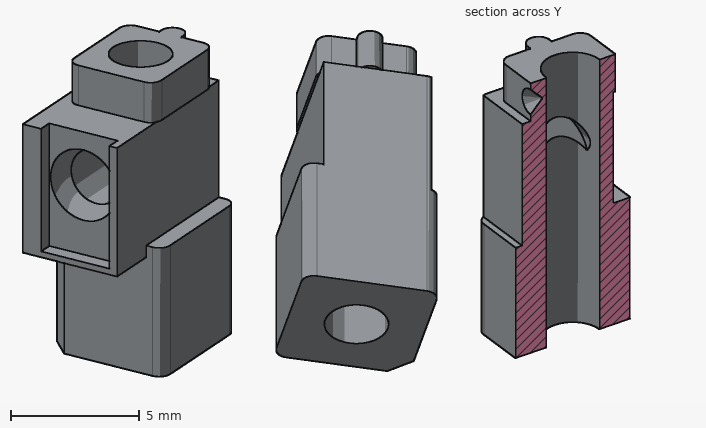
import cadquery as cq
import math

TOTAL_HEIGHT = 12.2
CORNER_RADIUS = 0.5

BASE_SIDE = 5.4
BASE_CHAMFER = 0.87
BASE_HALF = BASE_SIDE / 2

BLOCK_LEFT = -2.4
BLOCK_RIGHT = 1.92
BLOCK_FRONT = -4.85
BLOCK_TOP = 10.49
LEFT_LEDGE_HEIGHT = 5.0
RIGHT_LEDGE_HEIGHT = 5.5

CAP_WIDTH = 4.0
CAP_LENGTH = 4.39
CAP_HEIGHT = TOTAL_HEIGHT - BLOCK_TOP
KEY_RADIUS = 0.5
KEY_BACK = 2.87

DIMPLE_RADIUS = 0.56
DIMPLE_DEPTH = 0.56

RECESS_WIDTH = 3.12
RECESS_DEPTH = 0.61
RECESS_FLOOR = 5.26
RECESS_BACK = BLOCK_FRONT + RECESS_DEPTH

BORE_DIAMETER = 2.5
FRONT_BORE_RADIUS = 2.3 / 2
FRONT_BORE_HEIGHT = 8.22
SEAT_RADIUS = 1.5

SLOPE_AXIS_HEIGHT = 7.23


def box(x_min, x_max, y_min, y_max, z_min, z_max):
    """Box between the given limits."""
    size = (x_max - x_min, y_max - y_min, z_max - z_min)
    return cq.Workplane("XY").box(*size, centered=False).translate((x_min, y_min, z_min))


def make_base_and_block():
    """Base column trimmed to the block width, plus the front overhang."""
    column = cq.Workplane("XY").rect(BASE_SIDE, BASE_SIDE).extrude(BLOCK_TOP)
    column = column.edges("|Z and (>X or >Y)").fillet(CORNER_RADIUS)
    column = column.edges("|Z and <Y").edges("<X").chamfer(BASE_CHAMFER)
    left_waste = box(-BASE_HALF, BLOCK_LEFT, -BASE_HALF, BASE_HALF, LEFT_LEDGE_HEIGHT, BLOCK_TOP)
    right_waste = box(BLOCK_RIGHT, BASE_HALF, -BASE_HALF, BASE_HALF, RIGHT_LEDGE_HEIGHT, BLOCK_TOP)
    overhang = box(BLOCK_LEFT, BLOCK_RIGHT, BLOCK_FRONT, 0, LEFT_LEDGE_HEIGHT, BLOCK_TOP)
    return column.cut(left_waste).cut(right_waste).union(overhang)


def make_cap():
    """Rounded cap with its key and dimple."""
    cap = cq.Workplane("XY", origin=(0, 0, BLOCK_TOP)).rect(CAP_WIDTH, CAP_LENGTH).extrude(CAP_HEIGHT)
    cap = cap.edges("|Z").fillet(CORNER_RADIUS)
    key_centre = KEY_BACK - KEY_RADIUS
    key = box(-KEY_RADIUS, KEY_RADIUS, 0, key_centre, BLOCK_TOP, TOTAL_HEIGHT)
    key_end = cq.Workplane("XY", origin=(0, key_centre, BLOCK_TOP)).circle(KEY_RADIUS).extrude(CAP_HEIGHT)
    dimple_centre = cq.Vector(-CAP_WIDTH / 2, 0, BLOCK_TOP + CAP_HEIGHT / 2)
    dimple = cq.Solid.makeCone(DIMPLE_RADIUS, 0, DIMPLE_DEPTH, dimple_centre, cq.Vector(1, 0, 0))
    return cap.union(key).union(key_end).cut(cq.Workplane(dimple))


def make_front_bore():
    """Front bore that crosses the vertical bore and ends on a 45 degree face."""
    y_start = RECESS_BACK
    z_bottom = FRONT_BORE_HEIGHT - FRONT_BORE_RADIUS
    z_top = FRONT_BORE_HEIGHT + FRONT_BORE_RADIUS
    profile = [
        (y_start, z_bottom),
        (z_bottom - SLOPE_AXIS_HEIGHT, z_bottom),
        (z_top - SLOPE_AXIS_HEIGHT, z_top),
        (y_start, z_top),
    ]
    envelope = cq.Workplane("YZ").polyline(profile).close().extrude(FRONT_BORE_RADIUS, both=True)
    cylinder = (
        cq.Workplane("XZ", origin=(0, y_start, FRONT_BORE_HEIGHT))
        .circle(FRONT_BORE_RADIUS)
        .extrude(-BASE_SIDE * 2)
    )
    return cylinder.intersect(envelope)


def make_seat():
    """Half-ball hollow in the back of the recess, revolved about the front bore axis."""
    pole = (0, RECESS_BACK + SEAT_RADIUS)
    diagonal = SEAT_RADIUS * math.sqrt(0.5)
    return (
        cq.Workplane("XY", origin=(0, 0, FRONT_BORE_HEIGHT))
        .moveTo(0, RECESS_BACK)
        .lineTo(SEAT_RADIUS, RECESS_BACK)
        .threePointArc((diagonal, RECESS_BACK + diagonal), pole)
        .close()
        .revolve(360, (0, RECESS_BACK), pole)
    )


recess = box(-RECESS_WIDTH / 2, RECESS_WIDTH / 2, BLOCK_FRONT, RECESS_BACK, RECESS_FLOOR, BLOCK_TOP)
vertical_bore = cq.Workplane("XY").circle(BORE_DIAMETER / 2).extrude(TOTAL_HEIGHT)

result = make_base_and_block().union(make_cap())
result = result.cut(recess).cut(make_seat()).cut(make_front_bore()).cut(vertical_bore)